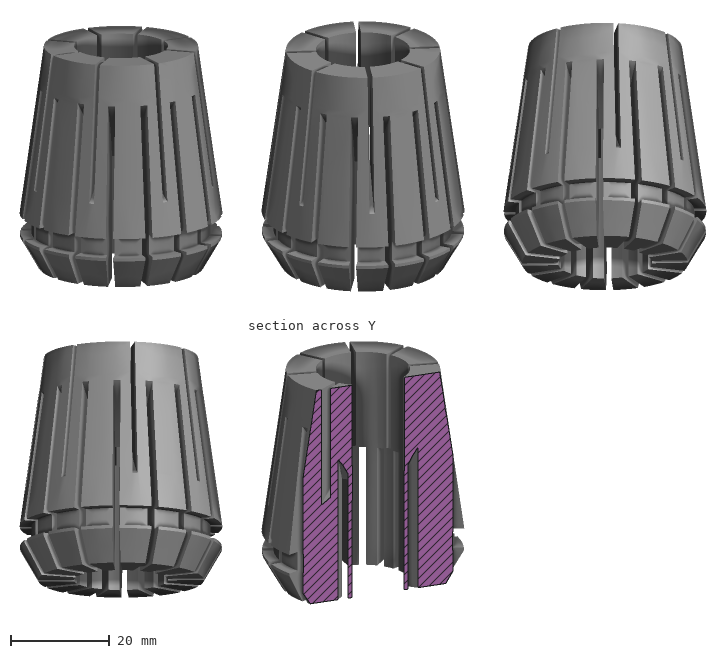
import cadquery as cq
import math

height = 46.0
cone_radius = 20.5
cone_angle = 8.0
bore_radius = 9.5

flange_radius = 20.42
nose_angle = 30.0
bevel_top_z = 6.35
groove_bottom_z = 7.0
groove_top_z = 11.05
groove_radius = 18.12

cutter_radius = 34.5
wide_slot_count = 16
wide_slot_width = 1.45
wide_slot_outer_z = 37.8
wide_slot_bore_z = 25.45
narrow_slot_count = 8
narrow_slot_width = 1.0
narrow_slot_outer_z = 17.95
narrow_slot_bore_z = 25.75
clearance = 2.3

wide_slot_pitch = 360.0 / wide_slot_count
narrow_slot_start = 1.5 * wide_slot_pitch


def taper_radius(z):
    """Radius of the clamping taper at height z."""
    return cone_radius - (z - groove_top_z) * math.tan(math.radians(cone_angle))


def make_body():
    """Revolve the outer shape and the bore about Z."""
    nose_radius = flange_radius - bevel_top_z * math.tan(math.radians(nose_angle))
    return (
        cq.Workplane("XZ")
        .moveTo(bore_radius, 0)
        .lineTo(nose_radius, 0)
        .lineTo(flange_radius, bevel_top_z)
        .lineTo(flange_radius, groove_bottom_z)
        .lineTo(groove_radius, groove_bottom_z)
        .lineTo(groove_radius, groove_top_z)
        .lineTo(cone_radius, groove_top_z)
        .lineTo(taper_radius(height), height)
        .lineTo(bore_radius, height)
        .close()
        .revolve(360, (0, 0, 0), (0, 1, 0))
    )


def make_slot(width, outer_z, bore_z, open_z):
    """Radial saw cut along +X, open at height open_z and ending in the saw's curved run-out."""
    outer_radius = taper_radius(outer_z)
    run = outer_radius - bore_radius
    rise = outer_z - bore_z
    chord = math.hypot(run, rise)
    bulge = cutter_radius - math.sqrt(cutter_radius**2 - (chord / 2) ** 2)
    middle = (
        (bore_radius + outer_radius) / 2 - bulge * abs(rise) / chord,
        (bore_z + outer_z) / 2 + bulge * run / chord * math.copysign(1, rise),
    )
    inner_reach = bore_radius - clearance
    outer_reach = cone_radius + clearance
    return (
        cq.Workplane("XZ")
        .moveTo(inner_reach, open_z)
        .lineTo(inner_reach, bore_z)
        .lineTo(bore_radius, bore_z)
        .threePointArc(middle, (outer_radius, outer_z))
        .lineTo(outer_reach, outer_z)
        .lineTo(outer_reach, open_z)
        .close()
        .extrude(width / 2, both=True)
    )


def cut_slots(body, slot, count, start_angle):
    """Cut equally spaced copies of a slot around Z."""
    for index in range(count):
        angle = start_angle + index * 360.0 / count
        body = body.cut(slot.rotate((0, 0, 0), (0, 0, 1), angle))
    return body


wide_slot = make_slot(wide_slot_width, wide_slot_outer_z, wide_slot_bore_z, -clearance)
narrow_slot = make_slot(
    narrow_slot_width, narrow_slot_outer_z, narrow_slot_bore_z, height + clearance
)

collet = make_body()
collet = cut_slots(collet, wide_slot, wide_slot_count, 0)
collet = cut_slots(collet, narrow_slot, narrow_slot_count, narrow_slot_start)
result = collet